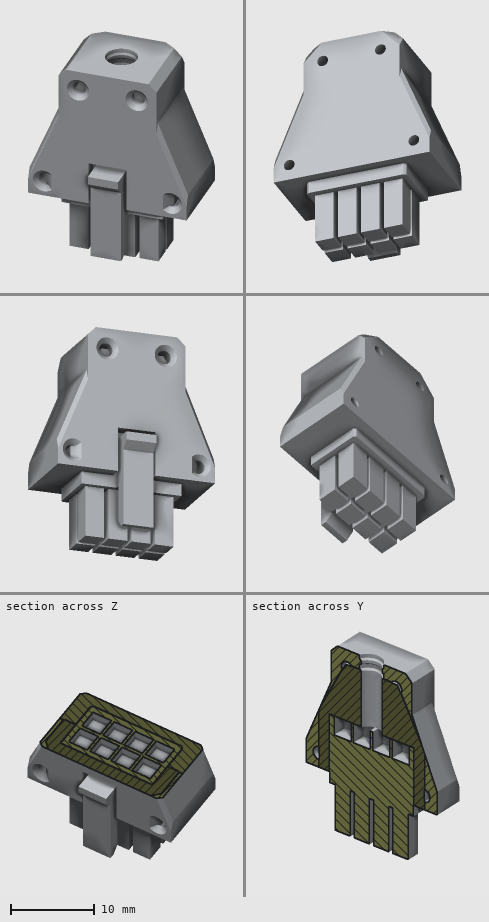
import cadquery as cq


HEIGHT = 25.88
HALF_DEPTH = 5.12
TOWER_HALF_WIDTH = 6.26
TOWER_CHAMFER = 1.0
HOOD_BOTTOM = 7.87
WING_HALF_WIDTH = 10.12
WING_SHOULDER = 11.13
WING_TOP = 20.45
FLANK_CHAMFER = 0.52

SCREW_PLACES = [(3.75, 23.32), (8.1, 9.85)]
SCREW_HEAD_RADIUS = 1.42
SCREW_CLEARANCE_RADIUS = 0.85
SCREW_PILOT_RADIUS = 0.7

CABLE_GROOVE_RADIUS = 2.0
CABLE_RIB_RADIUS = 1.75
GROOVE_FLAT = 0.52
RIB_FLAT = 0.41
GROOVE_COUNT = 2
rib_flank = CABLE_GROOVE_RADIUS - CABLE_RIB_RADIUS

CORE_HALF_WIDTH = 8.13
CORE_SHOULDER = 15.9
CORE_TOP = 23.8
CORE_TOP_HALF_WIDTH = 3.99
CORE_TOP_DEPTH = 3.62
CORE_CHAMFER = 1.0
NOTCH_HALF_WIDTH = 2.43
NOTCH_TOP = 13.4

SHELL_HALF_WIDTH = 6.45
SHELL_FRONT = -3.42
SHELL_BACK = 3.67
SHELL_BOTTOM = 6.35
SHELL_TOP = CORE_SHOULDER
SHELL_CHAMFER = 0.25

COLUMNS = 4
ROWS = 2
TOWER_X = 2.4
TOWER_Y = 2.45
TOWER_GAP = 0.57
ROWS_CENTRE = 0.05
POCKET_WALL_X = 0.45
POCKET_WALL_Y = 0.52
POCKET_DEPTH = 2.6
column_pitch = TOWER_X + TOWER_GAP
row_pitch = TOWER_Y + TOWER_GAP

LATCH_HALF_WIDTH = 1.95
LATCH_BACK = -4.05
LATCH_FRONT = -5.72
LATCH_LIP = -6.7
LATCH_TOP = 12.47
LATCH_BOTTOM = 0.95
LIP_HEIGHT = 1.04
TOE_CHAMFER = 0.95


def box(x0, x1, y0, y1, z0, z1):
    """Box between the given limits."""
    return cq.Workplane("XY").box(x1 - x0, y1 - y0, z1 - z0, centered=False).translate((x0, y0, z0))


def extrude_through_depth(points):
    """Closed XZ outline extruded over the whole depth of the hood."""
    return cq.Workplane("XZ").polyline(points).close().extrude(HALF_DEPTH, both=True)



def hood_tower():
    """Upright block with chamfered top sides and chamfered rear top corners."""
    side = TOWER_HALF_WIDTH
    shoulder = HEIGHT - TOWER_CHAMFER
    tower = extrude_through_depth([
        (-side, HOOD_BOTTOM), (side, HOOD_BOTTOM), (side, shoulder), (side - TOWER_CHAMFER, HEIGHT),
        (TOWER_CHAMFER - side, HEIGHT), (-side, shoulder),
    ])
    corner_x = side - TOWER_CHAMFER / 2
    corner_z = HEIGHT - TOWER_CHAMFER / 2
    for sign in (-1, 1):
        corner = cq.selectors.NearestToPointSelector((sign * corner_x, HALF_DEPTH, corner_z))
        tower = tower.edges(corner).chamfer(TOWER_CHAMFER)
    return tower


def hood_wings():
    """Wide lower block whose sloped flanks are chamfered front and back and end at the tower sides."""
    side = WING_HALF_WIDTH
    wings = extrude_through_depth([
        (-side, HOOD_BOTTOM), (side, HOOD_BOTTOM), (side, WING_SHOULDER), (TOWER_HALF_WIDTH, WING_TOP),
        (-TOWER_HALF_WIDTH, WING_TOP), (-side, WING_SHOULDER),
    ])
    middle_x = (side + TOWER_HALF_WIDTH) / 2
    middle_z = (WING_SHOULDER + WING_TOP) / 2
    for sign in (-1, 1):
        for face_y in (-HALF_DEPTH, HALF_DEPTH):
            flank_edge = cq.selectors.NearestToPointSelector((sign * middle_x, face_y, middle_z))
            wings = wings.edges(flank_edge).chamfer(FLANK_CHAMFER)
    return wings


def cable_entry():
    """Bore with wide grooves between 45 degree ribs, from the top down to the connector shell."""
    profile = cq.Workplane("XZ").moveTo(0, HEIGHT)
    z = HEIGHT
    for groove in range(GROOVE_COUNT):
        profile = profile.lineTo(CABLE_GROOVE_RADIUS, z)
        z -= GROOVE_FLAT
        profile = profile.lineTo(CABLE_GROOVE_RADIUS, z)
        z -= rib_flank
        profile = profile.lineTo(CABLE_RIB_RADIUS, z)
        if groove < GROOVE_COUNT - 1:
            z -= RIB_FLAT
            profile = profile.lineTo(CABLE_RIB_RADIUS, z)
            z -= rib_flank
    profile = profile.lineTo(CABLE_RIB_RADIUS, SHELL_TOP).lineTo(0, SHELL_TOP).close()
    return profile.revolve(360, (0, 0, 0), (0, 1, 0))


def at_screws(tool):
    """Copies of a tool on the Y axis, moved to every screw and gathered into one cutter."""
    copies = [
        tool.translate((sign * x, 0, z)).val()
        for x, z in SCREW_PLACES
        for sign in (-1, 1)
    ]
    return cq.Workplane(cq.Compound.makeCompound(copies))


def screw_clearance():
    """Clearance hole of the front half, with a 45 degree countersink at the front face."""
    sink_end = SCREW_HEAD_RADIUS - SCREW_CLEARANCE_RADIUS - HALF_DEPTH
    return (
        cq.Workplane("XY")
        .polyline([
            (0, -HALF_DEPTH), (SCREW_HEAD_RADIUS, -HALF_DEPTH), (SCREW_CLEARANCE_RADIUS, sink_end),
            (SCREW_CLEARANCE_RADIUS, 0), (0, 0),
        ])
        .close()
        .revolve(360, (0, 0, 0), (0, 1, 0))
    )


def screw_pilot():
    """Plain hole through the rear half."""
    return cq.Workplane("XZ").circle(SCREW_PILOT_RADIUS).extrude(-HALF_DEPTH)



def grid_places(pitch_x, pitch_y):
    """Centres of the contact grid."""
    return [
        ((column - (COLUMNS - 1) / 2) * pitch_x, ROWS_CENTRE + (row - (ROWS - 1) / 2) * pitch_y)
        for column in range(COLUMNS)
        for row in range(ROWS)
    ]


def connector_shell():
    """Block with small chamfers on its upright rear corners."""
    shell = box(-SHELL_HALF_WIDTH, SHELL_HALF_WIDTH, SHELL_FRONT, SHELL_BACK, SHELL_BOTTOM, SHELL_TOP)
    return shell.faces(">Y").edges("|Z").chamfer(SHELL_CHAMFER)


def latch():
    """Latch arm with a lip at its top, a chamfered toe and a bridge to the shell."""
    return (
        cq.Workplane("YZ")
        .polyline([
            (SHELL_FRONT, LATCH_TOP),
            (LATCH_LIP, LATCH_TOP),
            (LATCH_LIP, LATCH_TOP - LIP_HEIGHT),
            (LATCH_FRONT, LATCH_TOP - LIP_HEIGHT - (LATCH_FRONT - LATCH_LIP)),
            (LATCH_FRONT, LATCH_BOTTOM),
            (LATCH_BACK - TOE_CHAMFER, LATCH_BOTTOM),
            (LATCH_BACK, LATCH_BOTTOM + TOE_CHAMFER),
            (LATCH_BACK, SHELL_BOTTOM),
            (SHELL_FRONT, SHELL_BOTTOM),
        ])
        .close()
        .extrude(LATCH_HALF_WIDTH, both=True)
    )


def build_connector():
    """Shell with contact towers, wire pockets and the latch."""
    towers = (
        cq.Workplane("XY")
        .pushPoints(grid_places(column_pitch, row_pitch))
        .rect(TOWER_X, TOWER_Y)
        .extrude(SHELL_BOTTOM)
    )
    pockets = (
        cq.Workplane("XY", origin=(0, 0, SHELL_TOP))
        .pushPoints(grid_places(column_pitch, row_pitch))
        .rect(column_pitch - POCKET_WALL_X, row_pitch - POCKET_WALL_Y)
        .extrude(-POCKET_DEPTH)
    )
    return connector_shell().union(towers).union(latch()).cut(pockets)



def core_section(z, half_width, depth):
    """Rectangle at height z, from the parting plane to the front."""
    return cq.Workplane("XY", origin=(0, -depth / 2, z)).rect(2 * half_width, depth)


def core_blank():
    """Straight lower block flush with the hood front, tapering above its shoulder."""
    lower = core_section(HOOD_BOTTOM, CORE_HALF_WIDTH, HALF_DEPTH).extrude(CORE_SHOULDER - HOOD_BOTTOM)
    top_shift = (HALF_DEPTH - CORE_TOP_DEPTH) / 2
    upper = (
        core_section(CORE_SHOULDER, CORE_HALF_WIDTH, HALF_DEPTH)
        .workplane(offset=CORE_TOP - CORE_SHOULDER)
        .center(0, top_shift)
        .rect(2 * CORE_TOP_HALF_WIDTH, CORE_TOP_DEPTH)
        .loft(ruled=True)
    )
    chamfered_prism = (
        core_section(HOOD_BOTTOM, CORE_HALF_WIDTH, HALF_DEPTH)
        .extrude(CORE_TOP - HOOD_BOTTOM)
        .faces("<Y")
        .edges("|Z")
        .chamfer(CORE_CHAMFER)
    )
    return lower.union(upper).intersect(chamfered_prism)



hood = hood_tower().union(hood_wings()).cut(cable_entry()).cut(connector_shell())
front_blank = hood.intersect(box(-WING_HALF_WIDTH, WING_HALF_WIDTH, -HALF_DEPTH, 0, HOOD_BOTTOM, HEIGHT))
rear_blank = hood.intersect(box(-WING_HALF_WIDTH, WING_HALF_WIDTH, 0, HALF_DEPTH, HOOD_BOTTOM, HEIGHT))

latch_notch = box(-NOTCH_HALF_WIDTH, NOTCH_HALF_WIDTH, -HALF_DEPTH, SHELL_FRONT, HOOD_BOTTOM, NOTCH_TOP)

connector = build_connector()
core = core_blank().intersect(front_blank).cut(latch_notch)
front_half = front_blank.cut(core_blank()).cut(at_screws(screw_clearance()))
rear_half = rear_blank.cut(at_screws(screw_pilot()))

bodies = [front_half, rear_half, core, connector]
result = cq.Compound.makeCompound([body.solids().val() for body in bodies])